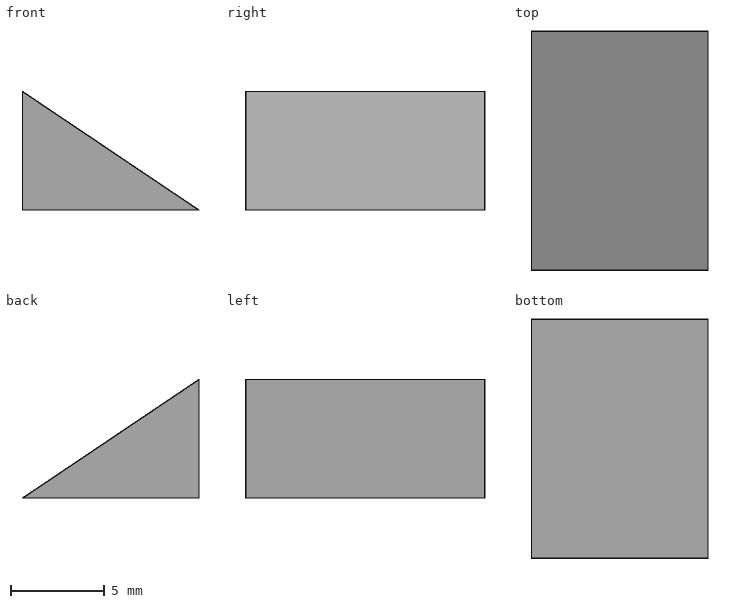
import cadquery as cq

base_width = 9.45
length = 12.81
height = 6.35

profile = (
    cq.Workplane("XZ")
    .moveTo(0, 0)
    .lineTo(base_width, 0)
    .lineTo(0, height)
    .close()
)

result = profile.extrude(length / 2, both=True)